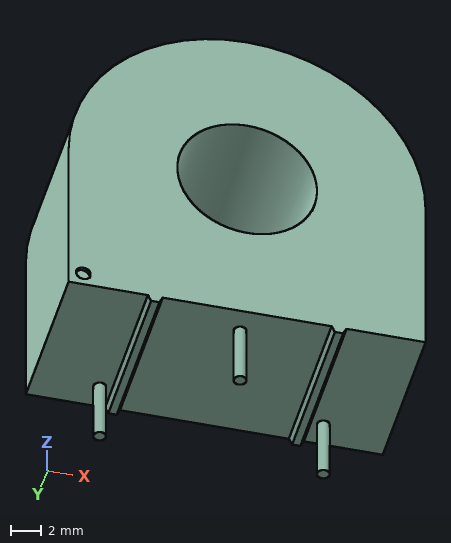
import cadquery as cq

total_height = 28.3
housing_width = 24.3
housing_depth = 11.5
pin_length = 4.4

housing_height = total_height - pin_length
arch_radius = housing_width / 2
arch_center_z = housing_height - arch_radius
bore_diameter = 9.5

mark_diameter = 1.0
mark_depth = 0.25
mark_x = -11.15
mark_z = 0.95

rib_offset_x = 6.25
rib_height = 0.45
rib_foot_width = 0.57
rib_root_width = 1.02

pin_diameter = 0.85
pin_offset_x = 7.6
pin_offset_y = 3.82
pin_positions = [
    (-pin_offset_x, pin_offset_y),
    (0, -pin_offset_y),
    (pin_offset_x, pin_offset_y),
]


def front_workplane():
    """XZ workplane on the front face; positive extrusion goes towards -Y."""
    return cq.Workplane("XZ", origin=(0, -housing_depth / 2, 0))


def make_arched_block():
    return (
        front_workplane()
        .moveTo(-arch_radius, 0)
        .lineTo(arch_radius, 0)
        .lineTo(arch_radius, arch_center_z)
        .threePointArc((0, housing_height), (-arch_radius, arch_center_z))
        .close()
        .extrude(-housing_depth)
    )


def make_rib(center_x):
    """Rib of trapezoid section that narrows from the underside down to its foot."""
    return (
        front_workplane()
        .center(center_x, 0)
        .moveTo(-rib_root_width / 2, 0)
        .lineTo(-rib_foot_width / 2, -rib_height)
        .lineTo(rib_foot_width / 2, -rib_height)
        .lineTo(rib_root_width / 2, 0)
        .close()
        .extrude(-housing_depth)
    )


def make_housing():
    housing = make_arched_block()
    for rib_x in (-rib_offset_x, rib_offset_x):
        housing = housing.union(make_rib(rib_x))

    bore = (
        front_workplane()
        .center(0, arch_center_z)
        .circle(bore_diameter / 2)
        .extrude(-housing_depth)
    )
    mark = (
        front_workplane()
        .center(mark_x, mark_z)
        .circle(mark_diameter / 2)
        .extrude(-mark_depth)
    )
    return housing.cut(bore).cut(mark)


def make_pin(x, y):
    """Straight pin that hangs from the underside of the housing."""
    return (
        cq.Workplane("XY")
        .center(x, y)
        .circle(pin_diameter / 2)
        .extrude(-pin_length)
    )


housing = make_housing()
pins = [make_pin(x, y).val() for x, y in pin_positions]

result = cq.Compound.makeCompound([housing.val(), *pins])